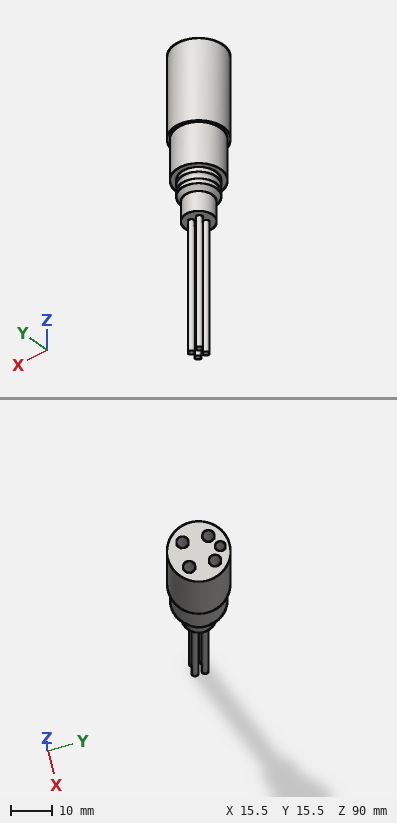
import cadquery as cq

total_length = 90.0

head_diameter = 15.5
head_length = 25.0
shank_diameter = 14.0
shank_length = 12.5
collar_diameter = 11.0
upper_collar_length = 1.4
groove_width = 2.1
groove_depth = 0.5
lower_collar_length = 1.4
taper_length = 1.5
sleeve_diameter = 8.7
sleeve_length = 6.0

socket_diameter = 3.0
socket_offset = 3.2
key_hole_diameter = 2.5
key_hole_offset = 5.4
hole_depth = 9.0

wire_diameter = 1.7
wire_offset = 1.3

head_bottom = total_length - head_length
shank_bottom = head_bottom - shank_length
groove_top = shank_bottom - upper_collar_length
groove_bottom = groove_top - groove_width
groove_middle = (groove_top + groove_bottom) / 2
taper_top = groove_bottom - lower_collar_length
taper_bottom = taper_top - taper_length
sleeve_bottom = taper_bottom - sleeve_length


def square_pattern(offset):
    """Four points at the corners of a square centred on the axis."""
    return [(x, y) for x in (-offset, offset) for y in (-offset, offset)]


def make_body():
    """Turned body: head, shank, grooved collar, taper and cable sleeve."""
    head_radius = head_diameter / 2
    shank_radius = shank_diameter / 2
    collar_radius = collar_diameter / 2
    sleeve_radius = sleeve_diameter / 2
    half_profile = (
        cq.Workplane("XZ")
        .moveTo(0, total_length)
        .lineTo(head_radius, total_length)
        .lineTo(head_radius, head_bottom)
        .lineTo(shank_radius, head_bottom)
        .lineTo(shank_radius, shank_bottom)
        .lineTo(collar_radius, shank_bottom)
        .lineTo(collar_radius, groove_top)
        .threePointArc((collar_radius - groove_depth, groove_middle), (collar_radius, groove_bottom))
        .lineTo(collar_radius, taper_top)
        .lineTo(sleeve_radius, taper_bottom)
        .lineTo(sleeve_radius, sleeve_bottom)
        .lineTo(0, sleeve_bottom)
        .close()
    )
    return half_profile.revolve(360, (0, 0), (0, 1))


def make_holes():
    """Cutters for the four contact sockets and the keying hole beside them."""
    top_face = cq.Workplane("XY").workplane(offset=total_length)
    socket_centers = top_face.pushPoints(square_pattern(socket_offset))
    sockets = socket_centers.circle(socket_diameter / 2).extrude(-hole_depth)
    key_center = top_face.pushPoints([(0, key_hole_offset)])
    key_hole = key_center.circle(key_hole_diameter / 2).extrude(-hole_depth)
    return sockets.union(key_hole)


def make_wires():
    """Four straight wires, from their free ends up to the sleeve."""
    wire_ends = cq.Workplane("XY").pushPoints(square_pattern(wire_offset))
    return wire_ends.circle(wire_diameter / 2).extrude(sleeve_bottom)


result = make_body().cut(make_holes()).union(make_wires())